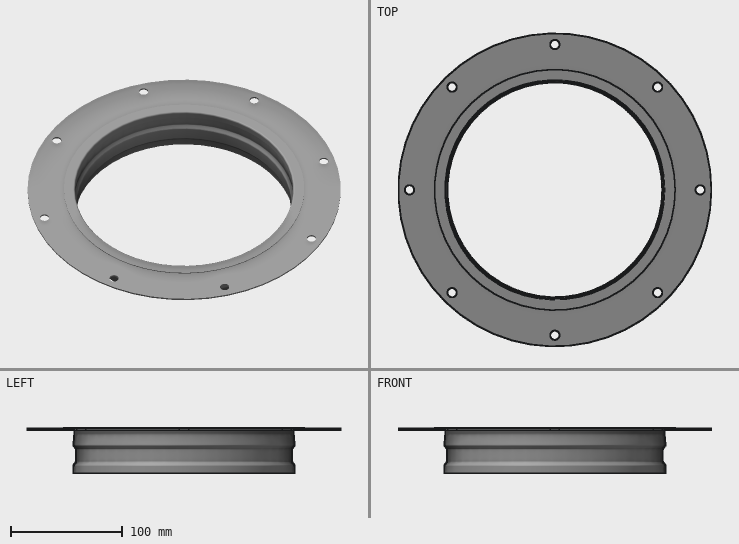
import cadquery as cq
import math

flange_diameter = 280.0
total_height = 41.0
sheet_thickness = 0.7
flange_thickness = 1.55

lip_radius = 107.5
neck_radius = 98.3
bead_radius = 99.0
groove_radius = 96.5
neck_bottom = 34.5
bead_bottom = 25.0
groove_top = 21.5
groove_bottom = 10.5
rim_top = 7.0
lip_bend_radius = 0.8
groove_bend_radius = 1.0

hole_count = 8
hole_diameter = 8.0
hole_circle_radius = 130.0

lip_underside = total_height - sheet_thickness
flange_bottom = lip_underside - flange_thickness


def unit_direction(start, end):
    length = math.dist(start, end)
    return (end[0] - start[0]) / length, (end[1] - start[1]) / length


def turn(before, after):
    """Signed turning angle between two unit directions, positive to the left."""
    cross = before[0] * after[1] - before[1] * after[0]
    dot = before[0] * after[0] + before[1] * after[1]
    return math.atan2(cross, dot)


def offset_left(points, distance):
    """Shift an open polyline to its left, keeping its corners mitred."""
    directions = [unit_direction(a, b) for a, b in zip(points, points[1:])]
    shifted = []
    for index, (x, y) in enumerate(points):
        before = directions[max(index - 1, 0)]
        after = directions[min(index, len(directions) - 1)]
        mitre = distance * math.tan(turn(before, after) / 2)
        shifted.append((x - before[1] * distance - before[0] * mitre,
                        y + before[0] * distance - before[1] * mitre))
    return shifted


def draw_rounded(sketch, points, radii):
    """Continue a sketch through the points, rounding each inner corner that has a radius."""
    for previous, corner, following, radius in zip(points, points[1:], points[2:], radii):
        if radius == 0:
            sketch = sketch.lineTo(*corner)
            continue
        before = unit_direction(previous, corner)
        after = unit_direction(corner, following)
        angle = turn(before, after)
        setback = radius * math.tan(abs(angle) / 2)
        bulge = radius * (1 / math.cos(angle / 2) - 1)
        inward = unit_direction(before, after)
        arc_start = (corner[0] - before[0] * setback, corner[1] - before[1] * setback)
        arc_middle = (corner[0] + inward[0] * bulge, corner[1] + inward[1] * bulge)
        arc_end = (corner[0] + after[0] * setback, corner[1] + after[1] * setback)
        sketch = sketch.lineTo(*arc_start).threePointArc(arc_middle, arc_end)
    return sketch.lineTo(*points[-1])


def revolve_about_z(sketch):
    return sketch.close().revolve(360, (0, 0, 0), (0, 1, 0))


def make_collar():
    """Thin rolled tube with a turned-out lip, a shallow bead and a groove."""
    outside = [
        (bead_radius, 0),
        (bead_radius, rim_top),
        (groove_radius, groove_bottom),
        (groove_radius, groove_top),
        (bead_radius, bead_bottom),
        (neck_radius, neck_bottom),
        (neck_radius, lip_underside),
        (lip_radius, lip_underside),
    ]
    inside = offset_left(outside, sheet_thickness)
    tight = groove_bend_radius
    wide = groove_bend_radius + sheet_thickness
    outside_radii = [wide, tight, tight, wide, 0, lip_bend_radius]
    inside_radii = [tight, wide, wide, tight, 0, lip_bend_radius + sheet_thickness]
    sketch = cq.Workplane("XZ").moveTo(*outside[0])
    sketch = draw_rounded(sketch, outside, outside_radii)
    sketch = sketch.lineTo(*inside[-1])
    sketch = draw_rounded(sketch, inside[::-1], inside_radii[::-1])
    return revolve_about_z(sketch)


def make_flange():
    """Flat ring under the lip, its bore rounded to follow the bend of the collar."""
    outline = [
        (flange_diameter / 2, flange_bottom),
        (neck_radius, flange_bottom),
        (neck_radius, lip_underside),
        (flange_diameter / 2, lip_underside),
    ]
    sketch = cq.Workplane("XZ").moveTo(*outline[0])
    ring = revolve_about_z(draw_rounded(sketch, outline, [0, lip_bend_radius]))
    holes = (
        cq.Workplane("XY", origin=(0, 0, flange_bottom))
        .polarArray(hole_circle_radius, 0, 360, hole_count)
        .circle(hole_diameter / 2)
        .extrude(flange_thickness)
    )
    return ring.cut(holes).solids()


collar = make_collar()
flange = make_flange()
result = cq.Compound.makeCompound([collar.val(), flange.val()])